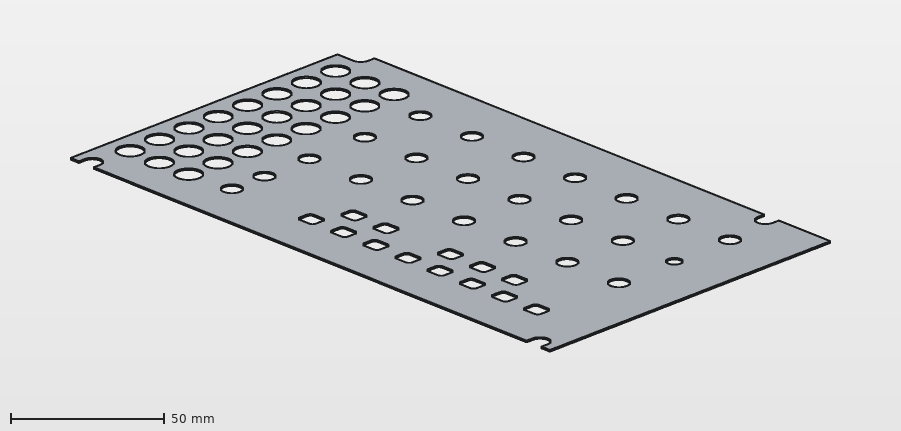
import cadquery as cq

length = 223.2
width = 128.5
thickness = 0.65

vent_diameter = 9.5
vent_columns = 3
vent_rows = 8
vent_pitch_x = 13.6
vent_span_y = 94.2
vent_pitch_y = vent_span_y / (vent_rows - 1)
vent_first_x = 9.4
vent_first_y = 18.0

hole_diameter = 7.4
small_hole_diameter = 5.5
hole_columns = 7
hole_rows = 3
hole_span_x = 144.2
hole_pitch_x = hole_span_x / (hole_columns - 1)
hole_pitch_y = 25.5
hole_first_x = 55.1
hole_first_y = 55.1
small_hole_position = (hole_columns - 1, 1)

lower_hole_heights = (19.6, 34.5)

window_length = 7.4
window_width = 6.2
window_corner_radius = 1.5
lower_window_count = 8
lower_window_span = 105.0
window_pitch = lower_window_span / (lower_window_count - 1)
window_first_x = 91.3
lower_window_y = 20.5
upper_window_y = 32.5
upper_window_slots = (0, 1, 3, 4, 5)

notch_width = 7.0
notch_depth = 6.2
left_notch_x = 7.4
bottom_right_notch_x = 215.8
top_right_notch_x = 195.7


def round_cutters(points, diameter):
    """Cylinders through the plate at the given centres."""
    return cq.Workplane("XY").pushPoints(points).circle(diameter / 2).extrude(thickness)


def window_cutters(points):
    """Rounded rectangular cutters at the given centres."""
    blanks = cq.Workplane("XY").pushPoints(points).rect(window_length, window_width).extrude(thickness)
    return blanks.edges("|Z").fillet(window_corner_radius)


def notch_cutter(center_x, edge_y, inward):
    """Notch open at edge_y; inward is +1 or -1 along Y."""
    radius = notch_width / 2
    arc_start_y = edge_y + inward * (notch_depth - radius)
    return (
        cq.Workplane("XY")
        .moveTo(center_x - radius, edge_y)
        .lineTo(center_x - radius, arc_start_y)
        .threePointArc((center_x, edge_y + inward * notch_depth), (center_x + radius, arc_start_y))
        .lineTo(center_x + radius, edge_y)
        .close()
        .extrude(thickness)
    )


vent_points = [
    (vent_first_x + column * vent_pitch_x, vent_first_y + row * vent_pitch_y)
    for column in range(vent_columns)
    for row in range(vent_rows)
]

hole_points = {
    (column, row): (hole_first_x + column * hole_pitch_x, hole_first_y + row * hole_pitch_y)
    for column in range(hole_columns)
    for row in range(hole_rows)
}
small_hole_point = hole_points.pop(small_hole_position)
medium_points = list(hole_points.values()) + [(hole_first_x, y) for y in lower_hole_heights]

lower_window_points = [
    (window_first_x + slot * window_pitch, lower_window_y) for slot in range(lower_window_count)
]
upper_window_points = [
    (window_first_x + (slot + 0.5) * window_pitch, upper_window_y) for slot in upper_window_slots
]

corner_step = (
    cq.Workplane("XY")
    .moveTo(0, width - notch_depth)
    .rect(left_notch_x, notch_depth, centered=False)
    .extrude(thickness)
)

result = (
    cq.Workplane("XY")
    .box(length, width, thickness, centered=False)
    .cut(round_cutters(vent_points, vent_diameter))
    .cut(round_cutters(medium_points, hole_diameter))
    .cut(round_cutters([small_hole_point], small_hole_diameter))
    .cut(window_cutters(lower_window_points + upper_window_points))
    .cut(notch_cutter(left_notch_x, 0, 1))
    .cut(notch_cutter(bottom_right_notch_x, 0, 1))
    .cut(notch_cutter(top_right_notch_x, width, -1))
    .cut(notch_cutter(left_notch_x, width, -1))
    .cut(corner_step)
)